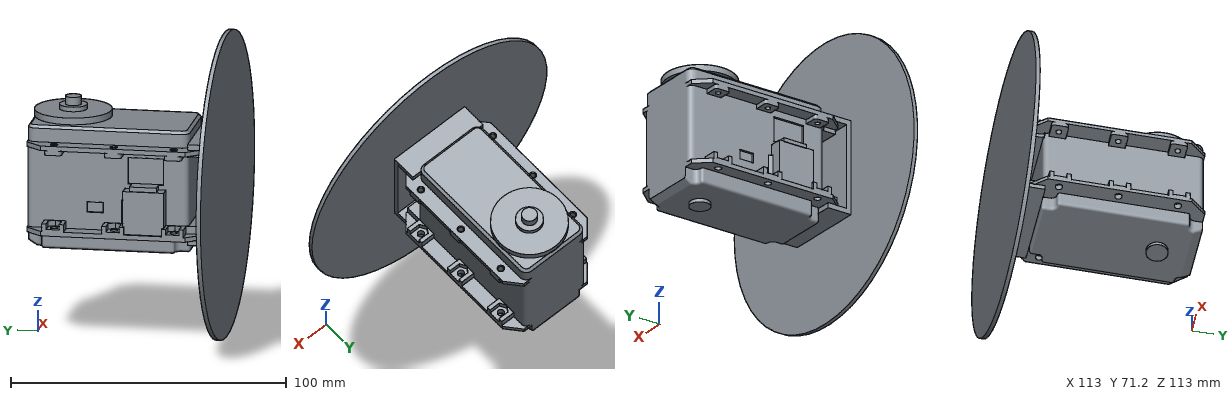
import cadquery as cq
import math

DISC_DIAMETER = 113.0
DISC_THICKNESS = 1.6

BRACKET_WIDTH = 33.8
BRACKET_WALL = 2.0
BRACKET_WEB = 1.9

SERVO_BACK = 71.2
SERVO_FRONT = 11.8
SERVO_HALF_WIDTH = 14.6
SERVO_HALF_HEIGHT = 22.9
CORE_CORNER_RADIUS = 2.0
TOP_CORNER_RADIUS = 3.0
TOP_CHAMFER = 1.0

STEP_START = 3.0
STEP_INNER_RADIUS = 2.1
STEP_OUTER_RADIUS = 1.0
BOTTOM_FRONT_RADIUS = 1.0
BOTTOM_EDGE_RADIUS = 1.0
BACK_CHAMFER_LENGTH = STEP_START
BACK_CHAMFER_HEIGHT = 1.9
RIM_MARGIN = 0.1

EAR_OUTER_Z = 16.8
EAR_THICKNESS = 1.7
EAR_INNER_Z = EAR_OUTER_Z - EAR_THICKNESS
EAR_HALF_WIDTH = 20.3
EAR_FRONT = 6.2
EAR_CHAMFER_X = 5.1
EAR_CHAMFER_Y = 5.9

TOP_HOLE_DIAMETER = 2.0
TOP_HOLE_CHAMFER = 0.3
BOTTOM_HOLE_DIAMETER = 2.6
HOLE_X = 17.3
HOLE_MIDDLE_Y = 38.8
HOLE_PITCH = 22.0
HOLE_SPOTS = [(side * HOLE_X, HOLE_MIDDLE_Y + step * HOLE_PITCH) for side in (-1, 1) for step in (-1, 0, 1)]
TOP_BOSS_WIDTH = 6.2
TOP_BOSS_HEIGHT = 1.7
TOP_BOSS_RADIUS = 1.0
NUT_BOSS_WIDTH = 8.0
NUT_BOSS_HEIGHT = 2.8
NUT_BOSS_TOP = NUT_BOSS_HEIGHT - EAR_INNER_Z
NUT_WIDTH = 4.9
NUT_POCKET_DEPTH = 2.0

TOP_BAR_HALF_WIDTH = 13.6
TOP_BAR_BACK = 12.1
TOP_BAR_FLARE = 1.1
BOTTOM_BAR_BACK = SERVO_FRONT + CORE_CORNER_RADIUS

SHAFT_Y = 56.7
HORN_DIAMETER = 28.2
HORN_BOTTOM = 23.6
HORN_TOP = 26.1
HORN_SEAT_DIAMETER = 18.0
COLLAR_DIAMETER = 10.2
COLLAR_TOP = 27.8
SHAFT_DIAMETER = 5.8
SHAFT_TOP = 30.8
STUB_DIAMETER = 8.0
STUB_LENGTH = 1.4

COVER_Y = (20.1, 35.1)
COVER_TOP = 0.9
COVER_OUTER_X = -19.4
NECK_Y = (22.8, 32.8)
NECK_OUTER_X = -19.0
SOCKET_Y = (21.0, 34.1)
SOCKET_Z = (2.6, 12.4)
WINDOW_Y = (43.2, 49.2)
WINDOW_Z = (-8.7, -4.9)
RECESS_DEPTH = 0.9
WEDGE_LENGTH = 1.4
WEDGE_RISE = 0.8
WEDGE_TOP = -3.6


def box(x_range, y_range, z_range):
    """Box between two limits on each axis."""
    size = [high - low for low, high in (x_range, y_range, z_range)]
    corner = (x_range[0], y_range[0], z_range[0])
    return cq.Workplane().box(*size, centered=False).translate(corner)


def cylinder_z(diameter, center, bottom, top):
    """Upright cylinder between two heights."""
    return cq.Workplane(origin=(*center, bottom)).circle(diameter / 2).extrude(top - bottom)


def make_disc():
    """Thin round plate at the front."""
    return cq.Workplane("XZ").circle(DISC_DIAMETER / 2).extrude(-DISC_THICKNESS)


def make_bracket():
    """U channel whose web lies on the disc and whose arms lie on the outer faces of the ears."""
    half_width = BRACKET_WIDTH / 2
    outer_z = EAR_OUTER_Z + BRACKET_WALL
    channel = box((-half_width, half_width), (DISC_THICKNESS, SERVO_FRONT), (-outer_z, outer_z))
    web_back = DISC_THICKNESS + BRACKET_WEB
    gap = box((-half_width, half_width), (web_back, SERVO_FRONT), (-EAR_OUTER_Z, EAR_OUTER_Z))
    return channel.cut(gap)


def housing_block(bottom, top, corner_radius):
    """Full-size block of the housing with rounded upright edges."""
    x_range = (-SERVO_HALF_WIDTH, SERVO_HALF_WIDTH)
    block = box(x_range, (SERVO_FRONT, SERVO_BACK), (bottom, top))
    return block.edges("|Z").fillet(corner_radius)


def make_top_cover():
    """Upper part of the housing, chamfered around its top face."""
    cover = housing_block(EAR_INNER_Z, SERVO_HALF_HEIGHT, TOP_CORNER_RADIUS)
    return cover.faces(">Z").chamfer(TOP_CHAMFER)


def corner_step(side, end_y, inward):
    """Material left out at one corner of the bottom cover, bounded by an S of two quarter arcs."""
    outer_x = SERVO_HALF_WIDTH
    bend_x = outer_x - STEP_OUTER_RADIUS
    inner_x = bend_x - STEP_INNER_RADIUS
    start_y = STEP_START
    bend_y = start_y + STEP_INNER_RADIUS
    end_step_y = bend_y + STEP_OUTER_RADIUS
    diagonal = math.sqrt(0.5)
    inner_mid = (bend_x - STEP_INNER_RADIUS * diagonal, start_y + STEP_INNER_RADIUS * diagonal)
    outer_mid = (bend_x + STEP_OUTER_RADIUS * diagonal, end_step_y - STEP_OUTER_RADIUS * diagonal)

    def place(point):
        return (side * point[0], end_y + inward * point[1])

    outline = (
        cq.Workplane(origin=(0, 0, -SERVO_HALF_HEIGHT))
        .moveTo(*place((outer_x, 0)))
        .lineTo(*place((inner_x, 0)))
        .lineTo(*place((inner_x, start_y)))
        .threePointArc(place(inner_mid), place((bend_x, bend_y)))
        .threePointArc(place(outer_mid), place((outer_x, end_step_y)))
        .close()
    )
    return outline.extrude(SERVO_HALF_HEIGHT - EAR_OUTER_Z)


def make_bottom_cover():
    """Lower part of the housing with stepped corners, a chamfered back and a rounded rim."""
    x_range = (-SERVO_HALF_WIDTH, SERVO_HALF_WIDTH)
    cover = box(x_range, (SERVO_FRONT, SERVO_BACK), (-SERVO_HALF_HEIGHT, -EAR_OUTER_Z))
    for side in (-1, 1):
        cover = cover.cut(corner_step(side, SERVO_FRONT, 1))
        cover = cover.cut(corner_step(side, SERVO_BACK, -1))
    cover = cover.faces("<Y").edges("|Z").fillet(BOTTOM_FRONT_RADIUS)
    back_chamfer = (
        cq.Workplane("YZ", origin=(-SERVO_HALF_WIDTH, 0, 0))
        .moveTo(SERVO_BACK, -SERVO_HALF_HEIGHT)
        .lineTo(SERVO_BACK, -SERVO_HALF_HEIGHT + BACK_CHAMFER_HEIGHT)
        .lineTo(SERVO_BACK - BACK_CHAMFER_LENGTH, -SERVO_HALF_HEIGHT)
        .close()
        .extrude(2 * SERVO_HALF_WIDTH)
    )
    cover = cover.cut(back_chamfer)

    rim_top = -SERVO_HALF_HEIGHT + BACK_CHAMFER_HEIGHT / 2 + RIM_MARGIN
    rim_box = cq.selectors.BoxSelector(
        (-SERVO_HALF_WIDTH - RIM_MARGIN, SERVO_FRONT - RIM_MARGIN, -SERVO_HALF_HEIGHT - RIM_MARGIN),
        (SERVO_HALF_WIDTH + RIM_MARGIN, SERVO_BACK + RIM_MARGIN, rim_top),
    )
    return cover.edges(rim_box).fillet(BOTTOM_EDGE_RADIUS)


def make_ear(bottom):
    """Plate with four chamfered corners."""
    x_range = (-EAR_HALF_WIDTH, EAR_HALF_WIDTH)
    plate = box(x_range, (EAR_FRONT, SERVO_BACK), (bottom, bottom + EAR_THICKNESS))
    for side in (-1, 1):
        for end_y, inward in ((EAR_FRONT, 1), (SERVO_BACK, -1)):
            corner = (
                cq.Workplane(origin=(0, 0, bottom))
                .moveTo(side * EAR_HALF_WIDTH, end_y)
                .lineTo(side * EAR_HALF_WIDTH, end_y + inward * EAR_CHAMFER_Y)
                .lineTo(side * (EAR_HALF_WIDTH - EAR_CHAMFER_X), end_y)
                .close()
                .extrude(EAR_THICKNESS)
            )
            plate = plate.cut(corner)
    return plate


def boss(spot, width, z_range):
    """Block around one screw hole, from the housing side to the edge of the ear."""
    x, y = spot
    inner_x = math.copysign(SERVO_HALF_WIDTH - CORE_CORNER_RADIUS, x)
    outer_x = math.copysign(EAR_HALF_WIDTH, x)
    x_range = (min(inner_x, outer_x), max(inner_x, outer_x))
    return box(x_range, (y - width / 2, y + width / 2), z_range)


def top_boss(spot):
    """Boss under the top ear, with its two outer upright edges rounded."""
    block = boss(spot, TOP_BOSS_WIDTH, (EAR_INNER_Z - TOP_BOSS_HEIGHT, EAR_INNER_Z))
    outer_face = ">X" if spot[0] > 0 else "<X"
    return block.faces(outer_face).edges("|Z").fillet(TOP_BOSS_RADIUS)


def top_hole(spot):
    """Screw hole through the top ear and its boss, with a conical chamfer at its upper end."""
    hole = cylinder_z(TOP_HOLE_DIAMETER, spot, EAR_INNER_Z - TOP_BOSS_HEIGHT, EAR_OUTER_Z)
    radius = TOP_HOLE_DIAMETER / 2
    axis = cq.Vector(0, 0, 1)
    base = cq.Vector(*spot, EAR_OUTER_Z - TOP_HOLE_CHAMFER)
    cone = cq.Solid.makeCone(radius, radius + TOP_HOLE_CHAMFER, TOP_HOLE_CHAMFER, base, axis)
    return hole.union(cq.Workplane(cone))


def nut_pocket(spot):
    """Hexagonal nut pocket that runs out through the side of the ear."""
    x, y = spot
    bottom = NUT_BOSS_TOP - NUT_POCKET_DEPTH
    across_corners = NUT_WIDTH / math.cos(math.pi / 6)
    hexagon = cq.Workplane(origin=(x, y, bottom)).polygon(6, across_corners).extrude(NUT_POCKET_DEPTH)
    outer_x = math.copysign(EAR_HALF_WIDTH, x)
    x_range = (min(x, outer_x), max(x, outer_x))
    mouth = box(x_range, (y - NUT_WIDTH / 2, y + NUT_WIDTH / 2), (bottom, NUT_BOSS_TOP))
    return hexagon.union(mouth)


def make_top_bar():
    """Bar under the front end of the top ear, flaring out along concave arcs at its back."""
    wide = TOP_BAR_HALF_WIDTH + TOP_BAR_FLARE
    flare_start = TOP_BAR_BACK - TOP_BAR_FLARE
    arc_inset = TOP_BAR_FLARE * math.sqrt(0.5)
    bar = (
        cq.Workplane(origin=(0, 0, EAR_INNER_Z - TOP_BOSS_HEIGHT))
        .moveTo(-TOP_BAR_HALF_WIDTH, EAR_FRONT)
        .lineTo(TOP_BAR_HALF_WIDTH, EAR_FRONT)
        .lineTo(TOP_BAR_HALF_WIDTH, flare_start)
        .threePointArc((wide - arc_inset, flare_start + arc_inset), (wide, TOP_BAR_BACK))
        .lineTo(-wide, TOP_BAR_BACK)
        .threePointArc((arc_inset - wide, flare_start + arc_inset), (-TOP_BAR_HALF_WIDTH, flare_start))
        .close()
    )
    return bar.extrude(TOP_BOSS_HEIGHT)


def make_bottom_bar():
    """Bar on the front end of the bottom ear, as wide as the housing."""
    x_range = (-SERVO_HALF_WIDTH, SERVO_HALF_WIDTH)
    z_range = (-EAR_INNER_Z, NUT_BOSS_TOP)
    return box(x_range, (EAR_FRONT, BOTTOM_BAR_BACK), z_range)


def make_shaft_stack():
    """Horn disc with its seat, collar and shaft, and the bearing stub on the same axis."""
    axis = (0, SHAFT_Y)
    stack = cylinder_z(HORN_SEAT_DIAMETER, axis, SERVO_HALF_HEIGHT, HORN_BOTTOM)
    stack = stack.union(cylinder_z(HORN_DIAMETER, axis, HORN_BOTTOM, HORN_TOP))
    stack = stack.union(cylinder_z(COLLAR_DIAMETER, axis, HORN_TOP, COLLAR_TOP))
    stack = stack.union(cylinder_z(SHAFT_DIAMETER, axis, COLLAR_TOP, SHAFT_TOP))
    stub_bottom = -SERVO_HALF_HEIGHT - STUB_LENGTH
    return stack.union(cylinder_z(STUB_DIAMETER, axis, stub_bottom, -SERVO_HALF_HEIGHT))


def make_cable_cover():
    """Raised cover on the -X side, with a neck on top and a sloped wedge along its back edge."""
    wall_x = -SERVO_HALF_WIDTH
    cover = box((COVER_OUTER_X, wall_x), COVER_Y, (-EAR_INNER_Z, COVER_TOP))
    neck = box((NECK_OUTER_X, wall_x), NECK_Y, (COVER_TOP, SOCKET_Z[0]))
    wedge = (
        cq.Workplane(origin=(0, 0, -EAR_INNER_Z))
        .moveTo(wall_x, COVER_Y[1])
        .lineTo(wall_x - WEDGE_RISE, COVER_Y[1])
        .lineTo(wall_x, COVER_Y[1] + WEDGE_LENGTH)
        .close()
        .extrude(WEDGE_TOP + EAR_INNER_Z)
    )
    return cover.union(neck).union(wedge)


def make_servo():
    """Housing with all of its attached features as one solid."""
    servo = housing_block(-EAR_OUTER_Z, EAR_OUTER_Z, CORE_CORNER_RADIUS)
    servo = servo.union(make_top_cover()).union(make_bottom_cover())

    recess_x = (-SERVO_HALF_WIDTH, -SERVO_HALF_WIDTH + RECESS_DEPTH)
    servo = servo.cut(box(recess_x, SOCKET_Y, SOCKET_Z))
    servo = servo.cut(box(recess_x, WINDOW_Y, WINDOW_Z))

    servo = servo.union(make_ear(EAR_INNER_Z)).union(make_ear(-EAR_OUTER_Z))
    servo = servo.union(make_top_bar()).union(make_bottom_bar())
    for spot in HOLE_SPOTS:
        nut_boss = boss(spot, NUT_BOSS_WIDTH, (-EAR_INNER_Z, NUT_BOSS_TOP))
        servo = servo.union(top_boss(spot)).union(nut_boss)
    for spot in HOLE_SPOTS:
        servo = servo.cut(nut_pocket(spot))
        servo = servo.cut(top_hole(spot))
        servo = servo.cut(cylinder_z(BOTTOM_HOLE_DIAMETER, spot, -EAR_OUTER_Z, NUT_BOSS_TOP))

    return servo.union(make_cable_cover()).union(make_shaft_stack())


disc = make_disc()
bracket = make_bracket()
servo = make_servo()

result = cq.Compound.makeCompound([disc.val(), bracket.val(), servo.val()])